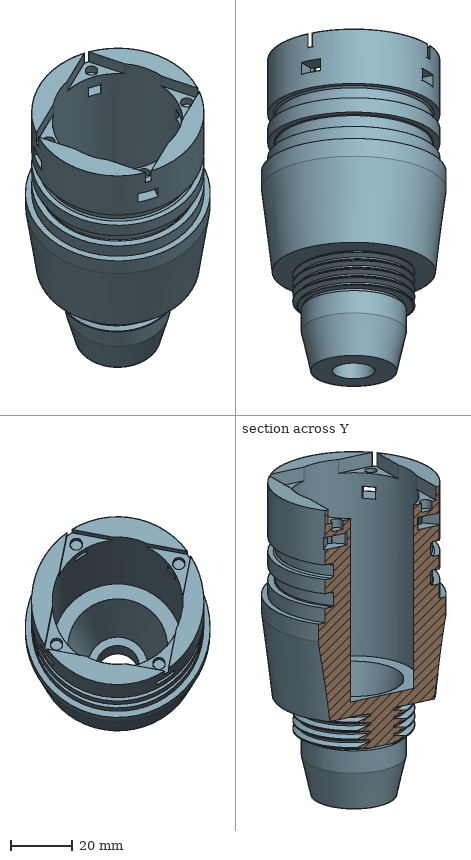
import cadquery as cq
import math

TOTAL_HEIGHT = 108.5
SPOUT_TOP = 13.6
NECK_TOP = 21.4
THREAD_BOTTOM = 22.3
SKIRT_BOTTOM = 34.6
FLANGE_BOTTOM = 63.3
BAND_HEIGHT = 5.0
FLANGE_TOP = 69.5
COLLAR_TOP = FLANGE_TOP + BAND_HEIGHT
RING_BOTTOM = COLLAR_TOP + BAND_HEIGHT
RING_TOP = RING_BOTTOM + BAND_HEIGHT
CAP_BOTTOM = RING_TOP + BAND_HEIGHT

SPOUT_TIP_DIAMETER = 28.1
NECK_DIAMETER = 34.26
NECK_CHAMFER = 0.4
SKIRT_DIAMETER = 53.25
FLANGE_DIAMETER = 60.2
CAP_DIAMETER = 56.1
GROOVE_DIAMETER = 51.28
UPPER_GROOVE_CHAMFER = 0.6
LOWER_GROOVE_CHAMFER = 0.3

THREAD_ROOT_DIAMETER = 36.33
THREAD_CREST_DIAMETER = 39.76
THREAD_PITCH = 2.95
THREAD_CREST_WIDTH = THREAD_PITCH / 8
THREAD_FLANK_ANGLE = 30.0
THREAD_CREST_HEIGHT = 22.96
GROOVE_CUT_OVERRUN = 0.1

BORE_DIAMETER = 42.5
BORE_FLOOR = 40.0
FUNNEL_TOP_DIAMETER = 32.5
FUNNEL_BOTTOM_DIAMETER = 19.6
FUNNEL_DEPTH = 27.7
OUTLET_DIAMETER = 14.0

SEAT_WIDTH = 41.0
SEAT_FRONT = -20.5
SEAT_BACK = 20.2
SEAT_DEPTH = 4.8
PIN_DIAMETER = 4.0
PIN_SPACING = 34.0
PIN_DEPTH = 3.0

WINDOW_WIDTH = 7.0
WINDOW_INNER_WIDTH = 4.5
WINDOW_HEIGHT = 4.1
WINDOW_TOP = TOTAL_HEIGHT - 9.5
WINDOW_LIP_RADIUS = 22.0
WINDOW_OVERRUN = 1.0

CORNER_ANGLES = [45 + 90 * quarter for quarter in range(4)]


def groove_points(bottom, top, chamfer):
    """Half profile of a ring groove with chamfered floor corners, listed upwards."""
    floor = GROOVE_DIAMETER / 2
    edge = floor + chamfer
    return [(edge, bottom), (floor, bottom + chamfer), (floor, top - chamfer), (edge, top)]


def make_body():
    """Solid of revolution from the spout tip up to the rim of the cap."""
    cap = CAP_DIAMETER / 2
    neck = NECK_DIAMETER / 2
    profile = [
        (0, 0),
        (SPOUT_TIP_DIAMETER / 2, 0),
        (neck, SPOUT_TOP),
        (neck, NECK_TOP),
        (neck - NECK_CHAMFER, THREAD_BOTTOM),
        (neck - NECK_CHAMFER, SKIRT_BOTTOM),
        (SKIRT_DIAMETER / 2, SKIRT_BOTTOM),
        (FLANGE_DIAMETER / 2, FLANGE_BOTTOM),
        (FLANGE_DIAMETER / 2, FLANGE_TOP),
        (cap, FLANGE_TOP),
        (cap, COLLAR_TOP),
        *groove_points(COLLAR_TOP, RING_BOTTOM, LOWER_GROOVE_CHAMFER),
        (cap, RING_BOTTOM),
        (cap, RING_TOP),
        *groove_points(RING_TOP, CAP_BOTTOM, UPPER_GROOVE_CHAMFER),
        (cap, CAP_BOTTOM),
        (cap, TOTAL_HEIGHT),
        (0, TOTAL_HEIGHT),
    ]
    return cq.Workplane("XZ").polyline(profile).close().revolve(360, (0, 0, 0), (0, 1, 0))


def make_thread():
    """Crest-diameter cylinder with a right-hand V groove, flat at the bottom and
    running one pitch up into the skirt.
    """
    crest = THREAD_CREST_DIAMETER / 2
    root = THREAD_ROOT_DIAMETER / 2
    outside = crest + GROOVE_CUT_OVERRUN
    slope = math.tan(math.radians(THREAD_FLANK_ANGLE))
    half_mouth = (THREAD_PITCH - THREAD_CREST_WIDTH) / 2
    half_root = half_mouth - (crest - root) * slope
    half_outside = half_mouth + GROOVE_CUT_OVERRUN * slope
    start = THREAD_CREST_HEIGHT - 2 * THREAD_PITCH
    turns = math.ceil((SKIRT_BOTTOM - start) / THREAD_PITCH) + 1
    helix = cq.Wire.makeHelix(THREAD_PITCH, turns * THREAD_PITCH, root)
    groove = (
        cq.Workplane("XZ")
        .polyline([(root, -half_root), (outside, -half_outside), (outside, half_outside), (root, half_root)])
        .close()
        .sweep(cq.Workplane(obj=helix), isFrenet=True)
        .translate((0, 0, start))
    )
    blank_height = SKIRT_BOTTOM + THREAD_PITCH - THREAD_BOTTOM
    blank = cq.Workplane(origin=(0, 0, THREAD_BOTTOM)).circle(crest).extrude(blank_height)
    return blank.cut(groove)


def make_passage():
    """Outlet, tapering funnel and wide bore, running through the part along Z."""
    funnel_bottom = BORE_FLOOR - FUNNEL_DEPTH
    outlet = OUTLET_DIAMETER / 2
    bore = BORE_DIAMETER / 2
    profile = [
        (0, 0),
        (outlet, 0),
        (outlet, funnel_bottom),
        (FUNNEL_BOTTOM_DIAMETER / 2, funnel_bottom),
        (FUNNEL_TOP_DIAMETER / 2, BORE_FLOOR),
        (bore, BORE_FLOOR),
        (bore, TOTAL_HEIGHT),
        (0, TOTAL_HEIGHT),
    ]
    return cq.Workplane("XZ").polyline(profile).close().revolve(360, (0, 0, 0), (0, 1, 0))


def make_seat():
    """Square recess whose corners break through the cap wall, with its pin holes."""
    floor = TOTAL_HEIGHT - SEAT_DEPTH
    middle = (SEAT_FRONT + SEAT_BACK) / 2
    length = SEAT_BACK - SEAT_FRONT
    seat = cq.Workplane(origin=(0, middle, floor)).rect(SEAT_WIDTH, length).extrude(SEAT_DEPTH)
    pins = (
        cq.Workplane(origin=(0, 0, floor - PIN_DEPTH))
        .rect(PIN_SPACING, PIN_SPACING, forConstruction=True)
        .vertices()
        .circle(PIN_DIAMETER / 2)
        .extrude(PIN_DEPTH)
    )
    return seat.union(pins)


def make_window(angle):
    """Radial opening through the cap wall, narrowed by a thin lip at the bore."""
    bottom = WINDOW_TOP - WINDOW_HEIGHT
    outer_length = CAP_DIAMETER / 2 - WINDOW_LIP_RADIUS + WINDOW_OVERRUN
    inner_length = WINDOW_LIP_RADIUS - BORE_DIAMETER / 2 + WINDOW_OVERRUN
    outer = (
        cq.Workplane(origin=(WINDOW_LIP_RADIUS, 0, bottom))
        .box(outer_length, WINDOW_WIDTH, WINDOW_HEIGHT, centered=(False, True, False))
    )
    inner = (
        cq.Workplane(origin=(WINDOW_LIP_RADIUS - inner_length, 0, bottom))
        .box(inner_length, WINDOW_INNER_WIDTH, WINDOW_HEIGHT, centered=(False, True, False))
    )
    return outer.union(inner).rotate((0, 0, 0), (0, 0, 1), angle)


body = make_body().union(make_thread()).cut(make_passage()).cut(make_seat())
for corner_angle in CORNER_ANGLES:
    body = body.cut(make_window(corner_angle))
result = cq.Workplane(body.solids().val())